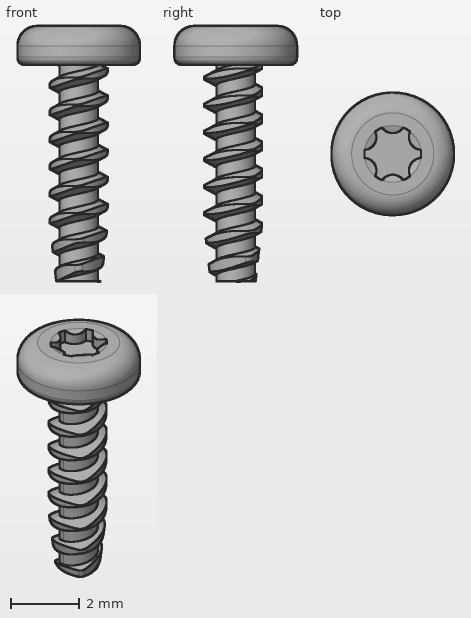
import cadquery as cq
import math


head_diameter = 3.61
head_height = 1.155
head_top_radius = 0.6
head_bottom_radius = 0.23

recess_rib_count = 6
recess_depth = 0.39
recess_radius = 0.83
rib_inner_radius = 0.61
rib_radius = 0.375
rib_top_drop = 0.07

shank_length = 6.345
core_radius = 0.567
core_seam_angle = 90
head_overlap = 0.1

pitch = 0.795
ridge_root_width = 0.42
ridge_half_angle = 27.0
ridge_embed = 0.1
start_ridge_drop = 0.2

lobe_offset = 0.575
lobe_radius = 0.355
first_lobe_angle = -90
lobe_spacing = 120
lobe_half_arc = 30
taper_length = 1.68
taper_inset = 0.19

burr_drop = 0.02
burr_length = 0.04
burr_width = 0.08
burr_offset = 0.08

tip_z = -shank_length


def polar(radius, angle):
    return (radius * math.cos(math.radians(angle)), radius * math.sin(math.radians(angle)))


def make_head():
    head = cq.Workplane("XY").circle(head_diameter / 2).extrude(head_height)
    head = head.faces(">Z").edges().fillet(head_top_radius)
    return head.faces("<Z").edges().fillet(head_bottom_radius)


def make_recess():
    """Round pocket with six inward ribs whose tops slope down towards the axis."""
    floor_z = head_height - recess_depth
    recess = cq.Workplane("XY").workplane(offset=floor_z).circle(recess_radius).extrude(recess_depth)
    rib_centres = [
        polar(rib_inner_radius + rib_radius, (i + 0.5) * 360 / recess_rib_count)
        for i in range(recess_rib_count)
    ]
    ribs = (
        cq.Workplane("XY").workplane(offset=floor_z)
        .pushPoints(rib_centres).circle(rib_radius).extrude(recess_depth)
    )
    lead_in = (
        cq.Workplane("XZ")
        .moveTo(0, head_height)
        .lineTo(recess_radius, head_height)
        .lineTo(rib_inner_radius, head_height - rib_top_drop)
        .lineTo(0, head_height - rib_top_drop)
        .close()
        .revolve(360, (0, 0, 0), (0, 1, 0))
    )
    return recess.cut(ribs.cut(lead_in))


def make_ridge():
    """Right-handed triangular ridge, starting on the +X side and ending inside the head."""
    slope = math.tan(math.radians(ridge_half_angle))
    apex_radius = core_radius + ridge_root_width / 2 / slope
    base_radius = core_radius - ridge_embed
    base_half_width = (apex_radius - base_radius) * slope
    start_z = tip_z - start_ridge_drop
    end_z = ridge_root_width / 2 + head_overlap
    helix = cq.Wire.makeHelix(pitch, end_z - start_z, base_radius, cq.Vector(0, 0, start_z))
    profile = (
        cq.Workplane("XZ")
        .moveTo(base_radius, start_z - base_half_width)
        .lineTo(apex_radius, start_z)
        .lineTo(base_radius, start_z + base_half_width)
        .close()
    )
    return profile.sweep(cq.Workplane(helix), isFrenet=True)


def envelope_outline(z, inset):
    """Rounded Reuleaux triangle at height z, shrunk all round by inset."""
    tip_radius = lobe_radius - inset
    side_radius = lobe_offset * math.sqrt(3) + tip_radius
    outline = cq.Workplane("XY").workplane(offset=z)

    def tip_point(angle, turn):
        centre = polar(lobe_offset, angle)
        reach = polar(tip_radius, angle + turn)
        return (centre[0] + reach[0], centre[1] + reach[1])

    outline = outline.moveTo(*tip_point(first_lobe_angle, -lobe_half_arc))
    for i in range(360 // lobe_spacing):
        angle = first_lobe_angle + i * lobe_spacing
        side_middle = polar(side_radius - lobe_offset, angle + lobe_spacing / 2)
        next_tip_start = tip_point(angle + lobe_spacing, -lobe_half_arc)
        outline = outline.threePointArc(tip_point(angle, 0), tip_point(angle, lobe_half_arc))
        outline = outline.threePointArc(side_middle, next_tip_start)
    return outline.close().wire().val()


def make_envelope():
    """Space the thread may fill: straight along the shank, tapered at the tip."""
    taper_top = tip_z + taper_length
    top_z = head_height - recess_depth
    full_wire = envelope_outline(taper_top, 0)
    straight = cq.Workplane(cq.Solid.extrudeLinear(full_wire, [], cq.Vector(0, 0, top_z - taper_top)))
    tapered = cq.Solid.makeLoft([envelope_outline(tip_z, taper_inset), full_wire], True)
    burr_centre = (core_radius + burr_length / 2, burr_offset, tip_z)
    burr = cq.Workplane("XY").box(burr_length, burr_width, 2 * burr_drop).translate(burr_centre)
    return straight.union(cq.Workplane(tapered)).union(burr)


def make_shank():
    """Threaded core; its seam is turned away from the start of the thread for a clean union."""
    core = cq.Workplane("XY").workplane(offset=tip_z).circle(core_radius).extrude(shank_length + head_overlap)
    core = core.rotate((0, 0, 0), (0, 0, 1), core_seam_angle)
    return core.union(make_ridge().intersect(make_envelope()))


result = make_head().union(make_shank()).cut(make_recess())